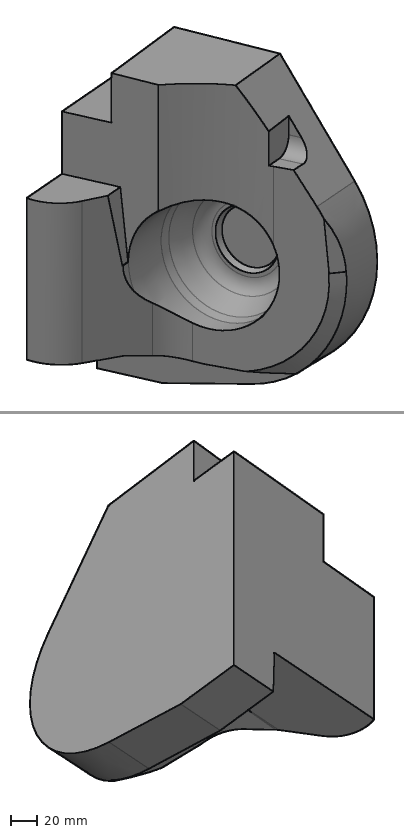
import cadquery as cq
import math

width = 220.7
height = 276.0
depth = 149.5
margin = 55.2

nose_radius = 107.0
axis_x = width - nose_radius
axis_z = 120.9
top_corner = (135.8, 273.7)
bottom_corner = (57.5, 0.0)
slant_normal = 35.5
bottom_normal = -78.5
wall_draft = 1.7

step_width = 43.3
step_height = 43.5

face_depth = 95.0
face_end_x = 84.2
ramp_end = (163.5, -58.8)
ramp_middle = (117.3, -72.8)
rim_x = 209.7
rim_depth = 54.0
boss_round = 36.0
boss_slope = 58.0
boss_base_x = 63.0
boss_top = 181.0
boss_top_x = 51.0
boss_side_x = 57.7
valley_radius = 34.5

shelf_depth = 42.8
shelf_boss_z = 44.5
shelf_z = 35.3
shelf_curve_start_x = 57.5
shelf_curve_end_x = 107.5
shelf_curve_middle = (81.5, 38.0)
shelf_tilt = 1.5
shelf_draft = 2.0 + shelf_tilt

bevel_size = 10.5
bevel_top_z = 128.5
bevel_tilt = 5.0

socket_radius = 55.7
shoulder_radius = 55.0
shoulder_depth = 47.0
socket_cone_radius = 53.0
socket_cone_depth = 38.5
bowl_radius = 43.3
bowl_depth = 19.3
seat_radius = 31.0
pin_mouth_radius = 27.5
pin_floor_radius = 25.5
pin_floor_depth = 5.5

notch_x = 160.0
notch_z = 208.5
notch_depth = 29.0
notch_radius = 14.3


def nose_point(angle):
    """Point (X, Z) on the nose circle at an angle in degrees."""
    turn = math.radians(angle)
    return axis_x + nose_radius * math.cos(turn), axis_z + nose_radius * math.sin(turn)


def block(x_range, y_range, z_range):
    """Box between pairs of X, Y and Z limits."""
    sizes = [end - start for start, end in (x_range, y_range, z_range)]
    origin = (x_range[0], y_range[0], z_range[0])
    return cq.Workplane("XY").box(*sizes, centered=False).translate(origin)


def drafted_outline():
    """Drafted body, trimmed to an undrafted left side and step."""
    top_slope = (height - top_corner[1]) / (top_corner[0] - step_width)
    body = (
        cq.Workplane("XZ")
        .moveTo(-margin, 0)
        .lineTo(*bottom_corner)
        .lineTo(*nose_point(bottom_normal))
        .threePointArc(nose_point(0), nose_point(slant_normal))
        .lineTo(*top_corner)
        .lineTo(-margin, height + top_slope * (step_width + margin))
        .close()
        .extrude(depth + 2.8, taper=wall_draft)
    )
    body = body.cut(block((-2 * margin, 0), (-2 * depth, margin), (-margin, height + margin)))
    step_z = height - step_height
    return body.cut(block((-margin, step_width), (-2 * depth, margin), (step_z, height + margin)))


def upper_front():
    """Region behind the flat face, the concave ramp and the rim plane."""
    slope = (rim_depth + ramp_end[1]) / (rim_x - ramp_end[0])
    end_x = width + margin
    return (
        cq.Workplane("XY")
        .moveTo(0, 0)
        .lineTo(0, -face_depth)
        .lineTo(face_end_x, -face_depth)
        .threePointArc(ramp_middle, ramp_end)
        .lineTo(end_x, ramp_end[1] - slope * (end_x - ramp_end[0]))
        .lineTo(end_x, 0)
        .close()
        .extrude(height - axis_z)
        .translate((0, 0, axis_z))
    )


def boss_front():
    """Region behind the rounded boss, its sloping flank and the rim plane."""
    turn = math.radians(boss_slope)
    center_y = boss_round - depth
    tangent_y = center_y - boss_round * math.cos(turn)
    tangent_x = boss_base_x - (-face_depth - tangent_y) / math.tan(turn)
    center_x = tangent_x - boss_round * math.sin(turn)
    start_y = center_y - math.sqrt(boss_round**2 - center_x**2)

    plane_slope = (-rim_depth - ramp_end[1]) / (rim_x - ramp_end[0])
    flank_slope = math.tan(turn)
    plane_base_y = -rim_depth - plane_slope * (rim_x - boss_base_x)
    valley_x = boss_base_x + (plane_base_y + face_depth) / (flank_slope - plane_slope)
    valley_y = -face_depth + flank_slope * (valley_x - boss_base_x)
    end_x = width + margin
    region = (
        cq.Workplane("XY")
        .moveTo(0, 0)
        .lineTo(0, start_y)
        .threePointArc((center_x, -depth), (tangent_x, tangent_y))
        .lineTo(valley_x, valley_y)
        .lineTo(end_x, -rim_depth + plane_slope * (end_x - rim_x))
        .lineTo(end_x, 0)
        .close()
        .extrude(boss_top)
    )
    valley = cq.selectors.NearestToPointSelector((valley_x, valley_y, boss_top / 2))
    region = region.edges("|Z").edges(valley).fillet(valley_radius)
    side_wall = (
        cq.Workplane("XZ")
        .polyline([
            (0, 0), (end_x, 0), (end_x, axis_z), (boss_side_x, axis_z),
            (boss_top_x, boss_top), (0, boss_top),
        ])
        .close()
        .extrude(2 * depth)
    )
    return region.intersect(side_wall)


def shelf_cut():
    """Drafted clearance in front of the slightly tilted bottom shelf."""
    clearance = (
        cq.Workplane("XZ", origin=(0, -shelf_depth, 0))
        .moveTo(-margin, -margin)
        .lineTo(-margin, shelf_boss_z)
        .lineTo(shelf_curve_start_x, shelf_boss_z)
        .threePointArc(shelf_curve_middle, (shelf_curve_end_x, shelf_z))
        .lineTo(width + margin, shelf_z)
        .lineTo(width + margin, -margin)
        .close()
        .extrude(depth, taper=-shelf_draft)
    )
    hinge = (0, -shelf_depth, shelf_boss_z)
    hinge_end = (1, -shelf_depth, shelf_boss_z)
    return clearance.rotate(hinge, hinge_end, shelf_tilt)


def nose_bevel():
    """Conical bevel round the lower nose, continued by a straight one above."""
    reach = margin / 2
    inner_x = rim_x - reach
    outer_x = rim_x + bevel_size + reach
    inner_y = -rim_depth - reach
    outer_y = -rim_depth + bevel_size + reach
    section = [(inner_x, inner_y), (outer_x, outer_y), (outer_x, inner_y)]
    cone = (
        cq.Workplane("XY", origin=(0, 0, axis_z))
        .polyline(section)
        .close()
        .revolve(360, (axis_x, 0, 0), (axis_x, 1, 0))
        .intersect(block((axis_x, width + margin), (-depth, 0), (-margin, bevel_top_z)))
    )
    straight = (
        cq.Workplane("XY", origin=(0, 0, axis_z))
        .polyline(section)
        .close()
        .extrude(margin)
        .rotate((rim_x, 0, bevel_top_z), (rim_x, 1, bevel_top_z), -bevel_tilt)
    )
    return cone, straight


def socket():
    """Blind stepped socket turned about the nose axis."""
    cone_angle = math.atan2(socket_cone_depth - bowl_depth, socket_cone_radius - bowl_radius)
    bowl_round = (bowl_radius - seat_radius) / math.sin(cone_angle)
    seat_depth = bowl_depth - bowl_round * (1 - math.cos(cone_angle))
    middle_x = seat_radius + bowl_round * math.sin(cone_angle / 2)
    middle_depth = seat_depth + bowl_round * (1 - math.cos(cone_angle / 2))
    return (
        cq.Workplane("XY")
        .moveTo(0, -depth)
        .lineTo(socket_radius, -depth)
        .lineTo(socket_radius, -face_depth)
        .lineTo(shoulder_radius, -shoulder_depth)
        .lineTo(socket_cone_radius, -socket_cone_depth)
        .lineTo(bowl_radius, -bowl_depth)
        .threePointArc((middle_x, -middle_depth), (seat_radius, -seat_depth))
        .lineTo(pin_mouth_radius, -seat_depth)
        .lineTo(pin_floor_radius, -pin_floor_depth)
        .lineTo(0, -pin_floor_depth)
        .close()
        .revolve(360, (0, 0, 0), (0, 1, 0))
        .translate((axis_x, 0, axis_z))
    )


def edge_notch():
    """Notch open to the front, with a round between its back and floor."""
    notch = block((notch_x, width), (-depth, -notch_depth), (notch_z, height))
    return notch.edges("|X and >Y and <Z").fillet(notch_radius)


result = drafted_outline().intersect(upper_front().union(boss_front()))
result = result.cut(shelf_cut())
for bevel in nose_bevel():
    result = result.cut(bevel)
result = result.cut(socket()).cut(edge_notch())